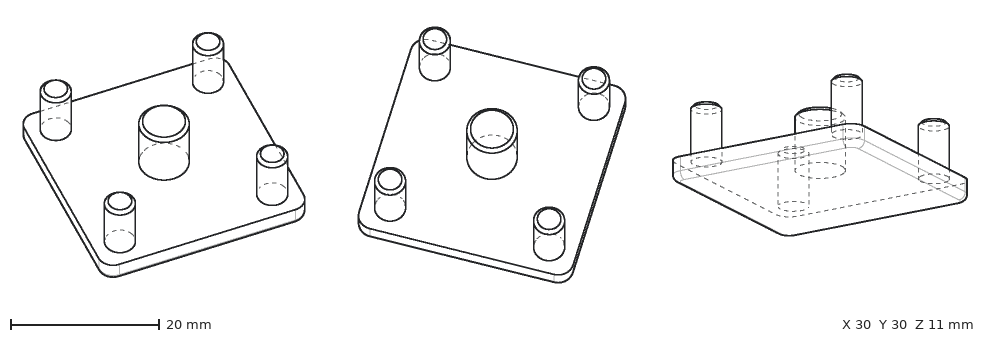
import cadquery as cq

plate_side = 30.0
plate_thickness = 3.0
corner_radius = 2.1
bottom_edge_radius = 1.0

total_height = 11.0
pin_height = total_height - plate_thickness
center_pin_diameter = 6.8
corner_pin_diameter = 4.2
corner_pin_spacing = 22.3
pin_tip_chamfer = 0.5


def make_plate():
    """Plate resting on Z = 0 with rounded corners and a rounded bottom edge."""
    plate = cq.Workplane("XY").box(
        plate_side, plate_side, plate_thickness, centered=(True, True, False)
    )
    plate = plate.edges("|Z").fillet(corner_radius)
    return plate.faces("<Z").edges().fillet(bottom_edge_radius)


def make_pins(diameter, locations):
    """Pins with chamfered tips, standing on the top of the plate."""
    pins = (
        cq.Workplane("XY", origin=(0, 0, plate_thickness))
        .pushPoints(locations)
        .circle(diameter / 2)
        .extrude(pin_height)
    )
    return pins.faces(">Z").edges().chamfer(pin_tip_chamfer)


half_spacing = corner_pin_spacing / 2
corner_locations = [
    (x, y)
    for x in (-half_spacing, half_spacing)
    for y in (-half_spacing, half_spacing)
]

result = (
    make_plate()
    .union(make_pins(center_pin_diameter, [(0, 0)]))
    .union(make_pins(corner_pin_diameter, corner_locations))
)